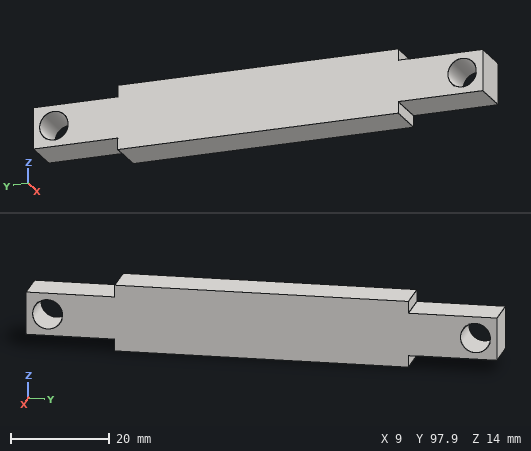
import cadquery as cq

width = 9.0
total_length = 97.9
body_height = 14.0

body_length = 61.1
tab_height = width

hole_diameter = 6.2
hole_end_distance = 4.5
hole_spacing = total_length - 2 * hole_end_distance

bar = cq.Workplane("XY").box(width, total_length, tab_height)
body = cq.Workplane("XY").box(width, body_length, body_height)

holes = (
    cq.Workplane("YZ")
    .pushPoints([(-hole_spacing / 2, 0), (hole_spacing / 2, 0)])
    .circle(hole_diameter / 2)
    .extrude(width, both=True)
)

result = bar.union(body).cut(holes)